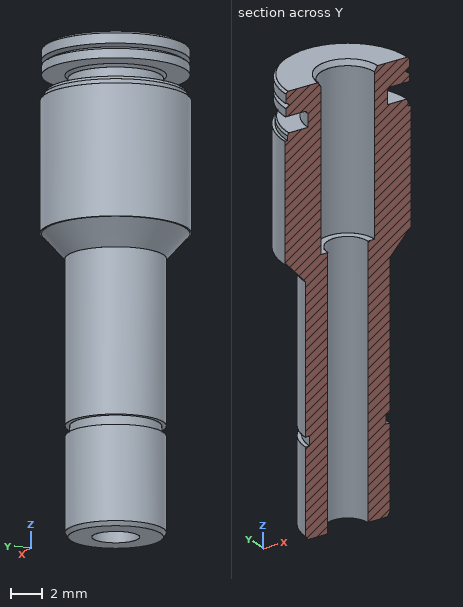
import cadquery as cq

total_height = 31.5

stem_radius = 6.35 / 2
stem_end_radius = 6.0 / 2
stem_chamfer_height = 0.28
stem_groove_radius = 5.75 / 2
stem_groove_bottom = 6.5
stem_groove_top = 7.15

body_radius = 9.5 / 2
body_bottom = 19.53
body_top = 28.1
cone_top_radius = 9.3 / 2
cone_bottom = 17.92

collar_radius = 9.1 / 2
collar_top = 28.6
collar_chamfer_radial = 0.1
collar_chamfer_height = 0.2

neck_radius = 6.0 / 2
neck_flare = 0.2
flange_radius = 9.32 / 2
flange_bottom = 29.75
rim_groove_bottom = 30.35
rim_groove_top = 30.68
rim_groove_depth = 0.28
flange_chamfer_radial = 0.15
flange_chamfer_height = 0.15

bore_radius = 3.0 / 2
socket_radius = 4.0 / 2
socket_floor = body_bottom
socket_chamfer_radial = 0.22
socket_chamfer_height = 0.38


def make_outer_shape():
    """Revolve the outer outline, traced from the stem end upward."""
    rim_groove_middle = (rim_groove_bottom + rim_groove_top) / 2
    outline = [
        (0, 0),
        (stem_end_radius, 0),
        (stem_radius, stem_chamfer_height),
        (stem_radius, stem_groove_bottom),
        (stem_groove_radius, stem_groove_bottom),
        (stem_groove_radius, stem_groove_top),
        (stem_radius, stem_groove_top),
        (stem_radius, cone_bottom),
        (cone_top_radius, body_bottom),
        (body_radius, body_bottom),
        (body_radius, body_top),
        (collar_radius, body_top),
        (collar_radius, collar_top - collar_chamfer_height),
        (collar_radius - collar_chamfer_radial, collar_top),
        (neck_radius, collar_top),
        (neck_radius, flange_bottom - neck_flare),
        (neck_radius + neck_flare, flange_bottom),
        (flange_radius, flange_bottom),
        (flange_radius, rim_groove_bottom),
        (flange_radius - rim_groove_depth, rim_groove_middle),
        (flange_radius, rim_groove_top),
        (flange_radius, total_height - flange_chamfer_height),
        (flange_radius - flange_chamfer_radial, total_height),
        (0, total_height),
    ]
    return cq.Workplane("XZ").polyline(outline).close().revolve(360, (0, 0), (0, 1))


def make_passage():
    """Revolve the through bore, the tube socket and its entry chamfer."""
    outline = [
        (0, 0),
        (bore_radius, 0),
        (bore_radius, socket_floor),
        (socket_radius, socket_floor),
        (socket_radius, total_height - socket_chamfer_height),
        (socket_radius + socket_chamfer_radial, total_height),
        (0, total_height),
    ]
    return cq.Workplane("XZ").polyline(outline).close().revolve(360, (0, 0), (0, 1))


result = make_outer_shape().cut(make_passage())